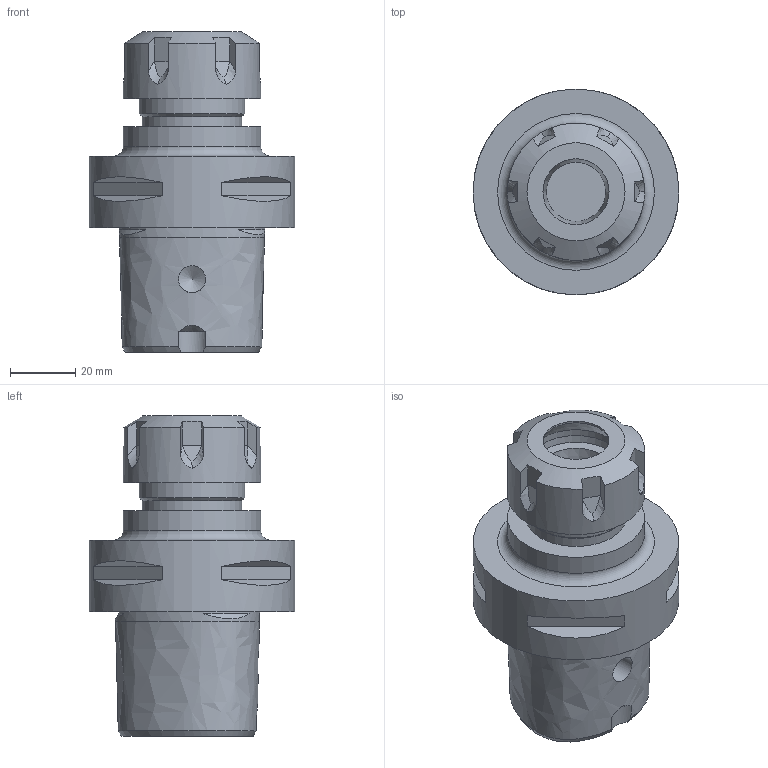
import math

import cadquery as cq


FLANGE_RADIUS = 31.5
FLANGE_HEIGHT = 22.0
COLLAR_RADIUS = 21.0
COLLAR_TOP = 31.0
COLLAR_FILLET = 3.0
GROOVE_RADIUS = 15.25
GROOVE_TOP = 34.0
NECK_RADIUS = 16.15
NECK_CHAMFER = NECK_RADIUS - GROOVE_RADIUS

NUT_RADIUS = 21.0
NUT_BOTTOM = 39.5
NUT_TOP = 60.0
NUT_FACE_RADIUS = 15.0
NUT_CONE_ANGLE = 30.0
NUT_SHOULDER = NUT_TOP - (NUT_RADIUS - NUT_FACE_RADIUS) * math.tan(math.radians(NUT_CONE_ANGLE))

MOUTH_RADIUS = 10.1
MOUTH_LIP = 0.6
CAVITY_RADIUS = 13.7
CAVITY_CONE_DEPTH = 5.7
SOCKET_DEPTH = 7.9
COLLET_FACE_DEPTH = 10.15
BORE_TOP_RADIUS = 10.15
BORE_BOTTOM_RADIUS = 9.05
BORE_TAPER_ANGLE = 8.0

SLOT_COUNT = 6
SLOT_FLOOR_RADIUS = 17.85
SLOT_FLOOR_WIDTH = 6.0
SLOT_RIM_WIDTH = 7.1
SLOT_RAMP_TOP = 50.9
SLOT_FLOOR_TIP = 48.0
SLOT_RIM_SHOULDER = 47.6
SLOT_RIM_TIP = 44.0
SLOT_FLOOR_BULGE = 0.05
SLOT_RIM_BULGE = 0.55
SLOT_RAMP_SLOPE = 3.0

GRIP_COUNT = 4
GRIP_START_ANGLE = 45.0
GRIP_FLOOR_DISTANCE = 27.75
GRIP_CENTER_Z = 11.9
GRIP_FLOOR_WIDTH = 4.0
GRIP_MOUTH_WIDTH = 7.5

SHANK_RADIUS = 22.05
LOBE_HEIGHT = 1.37
SHANK_LENGTH = 38.0
SHANK_LAND = 3.0
SHANK_CURVE_POINTS = 72
TAPER_RATIO = 1 / 20
END_CHAMFER_HEIGHT = 1.6
END_CHAMFER_ANGLE = 30.0

RELIEF_RADIUS = 22.5
RELIEF_STRAIGHT = 0.6
RELIEF_DEPTH = 2.1
RELIEF_OUTER_RADIUS = SHANK_RADIUS + LOBE_HEIGHT

DIMPLE_RADIUS = 4.15
DIMPLE_Z = -15.7
DIMPLE_WALL_Y = -13.0
DIMPLE_POINT_ANGLE = 118.0
NOTCH_RADIUS = 5.3
NOTCH_AXIS_Y = -22.9
NOTCH_WALL_TOP = -31.8
NOTCH_POINT_ANGLE = 98.0


def revolve_profile(points):
    """Turn a closed (radius, z) outline around the Z axis."""
    return cq.Workplane("XZ").polyline(points).close().revolve(360, (0, 0, 0), (0, 1, 0))


def make_body():
    fillet_start = FLANGE_HEIGHT + COLLAR_FILLET
    arc_inset = COLLAR_FILLET * (1 - math.sqrt(0.5))
    return (
        cq.Workplane("XZ")
        .moveTo(0, 0)
        .lineTo(FLANGE_RADIUS, 0)
        .lineTo(FLANGE_RADIUS, FLANGE_HEIGHT)
        .lineTo(COLLAR_RADIUS + COLLAR_FILLET, FLANGE_HEIGHT)
        .threePointArc((COLLAR_RADIUS + arc_inset, FLANGE_HEIGHT + arc_inset), (COLLAR_RADIUS, fillet_start))
        .lineTo(COLLAR_RADIUS, COLLAR_TOP)
        .lineTo(GROOVE_RADIUS, COLLAR_TOP)
        .lineTo(GROOVE_RADIUS, GROOVE_TOP)
        .lineTo(NECK_RADIUS, GROOVE_TOP + NECK_CHAMFER)
        .lineTo(NECK_RADIUS, NUT_BOTTOM)
        .lineTo(NUT_RADIUS, NUT_BOTTOM)
        .lineTo(NUT_RADIUS, NUT_SHOULDER)
        .lineTo(NUT_FACE_RADIUS, NUT_TOP)
        .lineTo(0, NUT_TOP)
        .close()
        .revolve(360, (0, 0, 0), (0, 1, 0))
    )


def make_collet_bore():
    taper_slope = math.tan(math.radians(BORE_TAPER_ANGLE))
    socket_radius = CAVITY_RADIUS - (COLLET_FACE_DEPTH - SOCKET_DEPTH) * taper_slope
    collet_face = NUT_TOP - COLLET_FACE_DEPTH
    bore_bottom = collet_face - (BORE_TOP_RADIUS - BORE_BOTTOM_RADIUS) / taper_slope
    return revolve_profile([
        (0, NUT_TOP),
        (MOUTH_RADIUS, NUT_TOP),
        (MOUTH_RADIUS, NUT_TOP - MOUTH_LIP),
        (CAVITY_RADIUS, NUT_TOP - CAVITY_CONE_DEPTH),
        (CAVITY_RADIUS, NUT_TOP - SOCKET_DEPTH),
        (socket_radius, collet_face),
        (BORE_TOP_RADIUS, collet_face),
        (BORE_BOTTOM_RADIUS, bore_bottom),
        (0, bore_bottom),
    ])


def slot_outline(distance, width, shoulder, tip, bulge):
    """Pointed slot outline in the plane X = distance; bulge rounds its two lower sides outward."""
    half = width / 2
    mid_y = half / 2 + bulge
    mid_z = (shoulder + tip) / 2 - bulge
    return (
        cq.Workplane("YZ", origin=(distance, 0, 0))
        .moveTo(-half, NUT_TOP)
        .lineTo(-half, shoulder)
        .threePointArc((-mid_y, mid_z), (0, tip))
        .threePointArc((mid_y, mid_z), (half, shoulder))
        .lineTo(half, NUT_TOP)
        .close()
        .val()
    )


def make_nut_slot():
    floor = slot_outline(
        SLOT_FLOOR_RADIUS, SLOT_FLOOR_WIDTH, SLOT_RAMP_TOP, SLOT_FLOOR_TIP, SLOT_FLOOR_BULGE
    )
    rim = slot_outline(NUT_RADIUS, SLOT_RIM_WIDTH, SLOT_RIM_SHOULDER, SLOT_RIM_TIP, SLOT_RIM_BULGE)
    cutter = cq.Workplane(cq.Solid.makeLoft([floor, rim], True))
    ramp_drop = SLOT_RAMP_TOP - SLOT_RIM_TIP
    ramp_end = SLOT_FLOOR_RADIUS + ramp_drop / SLOT_RAMP_SLOPE
    ramp = (
        cq.Workplane("XZ")
        .polyline([
            (SLOT_FLOOR_RADIUS, SLOT_RAMP_TOP),
            (ramp_end, SLOT_RIM_TIP),
            (SLOT_FLOOR_RADIUS, SLOT_RIM_TIP),
        ])
        .close()
        .extrude(SLOT_RIM_WIDTH, both=True)
    )
    return cutter.cut(ramp)


def make_grip_groove():
    mouth_half = GRIP_MOUTH_WIDTH / 2
    floor_half = GRIP_FLOOR_WIDTH / 2
    return (
        cq.Workplane("XZ")
        .polyline([
            (GRIP_FLOOR_DISTANCE, GRIP_CENTER_Z - floor_half),
            (FLANGE_RADIUS, GRIP_CENTER_Z - mouth_half),
            (FLANGE_RADIUS, GRIP_CENTER_Z + mouth_half),
            (GRIP_FLOOR_DISTANCE, GRIP_CENTER_Z + floor_half),
        ])
        .close()
        .extrude(FLANGE_RADIUS, both=True)
    )


def lobed_wire(z, inset=0.0):
    """Three-lobed outline at height z, with its mean radius reduced by inset."""
    radius = SHANK_RADIUS - inset

    def point(t):
        angle = 2 * math.pi * t
        x = radius * math.sin(angle) - LOBE_HEIGHT * math.sin(2 * angle)
        y = radius * math.cos(angle) + LOBE_HEIGHT * math.cos(2 * angle)
        return (x, y, z)

    return cq.Workplane("XY").parametricCurve(point, N=SHANK_CURVE_POINTS).val()


def make_shank():
    chamfer_top = END_CHAMFER_HEIGHT - SHANK_LENGTH
    taper_inset = (SHANK_LENGTH - END_CHAMFER_HEIGHT - SHANK_LAND) * TAPER_RATIO / 2
    end_inset = taper_inset + END_CHAMFER_HEIGHT * math.tan(math.radians(END_CHAMFER_ANGLE))
    sections = [
        lobed_wire(0),
        lobed_wire(-SHANK_LAND),
        lobed_wire(chamfer_top, taper_inset),
        lobed_wire(-SHANK_LENGTH, end_inset),
    ]
    return cq.Workplane(cq.Solid.makeLoft(sections, True))


def make_relief():
    return revolve_profile([
        (RELIEF_RADIUS, 0),
        (RELIEF_RADIUS, -RELIEF_STRAIGHT),
        (RELIEF_OUTER_RADIUS, -RELIEF_DEPTH),
        (FLANGE_RADIUS, -RELIEF_DEPTH),
        (FLANGE_RADIUS, 0),
    ])


def make_dimple():
    tip_length = DIMPLE_RADIUS / math.tan(math.radians(DIMPLE_POINT_ANGLE / 2))
    return (
        cq.Workplane("XY")
        .polyline([
            (0, -FLANGE_RADIUS),
            (DIMPLE_RADIUS, -FLANGE_RADIUS),
            (DIMPLE_RADIUS, DIMPLE_WALL_Y),
            (0, DIMPLE_WALL_Y + tip_length),
        ])
        .close()
        .revolve(360, (0, 0, 0), (0, 1, 0))
        .translate((0, 0, DIMPLE_Z))
    )


def make_notch():
    tip_length = NOTCH_RADIUS / math.tan(math.radians(NOTCH_POINT_ANGLE / 2))
    cutter = revolve_profile([
        (0, -SHANK_LENGTH),
        (NOTCH_RADIUS, -SHANK_LENGTH),
        (NOTCH_RADIUS, NOTCH_WALL_TOP),
        (0, NOTCH_WALL_TOP + tip_length),
    ])
    return cutter.translate((0, NOTCH_AXIS_Y, 0))


shank = make_shank().cut(make_relief()).cut(make_dimple()).cut(make_notch())
result = make_body().cut(make_collet_bore()).union(shank)

nut_slot = make_nut_slot()
for index in range(SLOT_COUNT):
    result = result.cut(nut_slot.rotate((0, 0, 0), (0, 0, 1), index * 360 / SLOT_COUNT))

grip_groove = make_grip_groove()
for index in range(GRIP_COUNT):
    groove_angle = GRIP_START_ANGLE + index * 360 / GRIP_COUNT
    result = result.cut(grip_groove.rotate((0, 0, 0), (0, 0, 1), groove_angle))